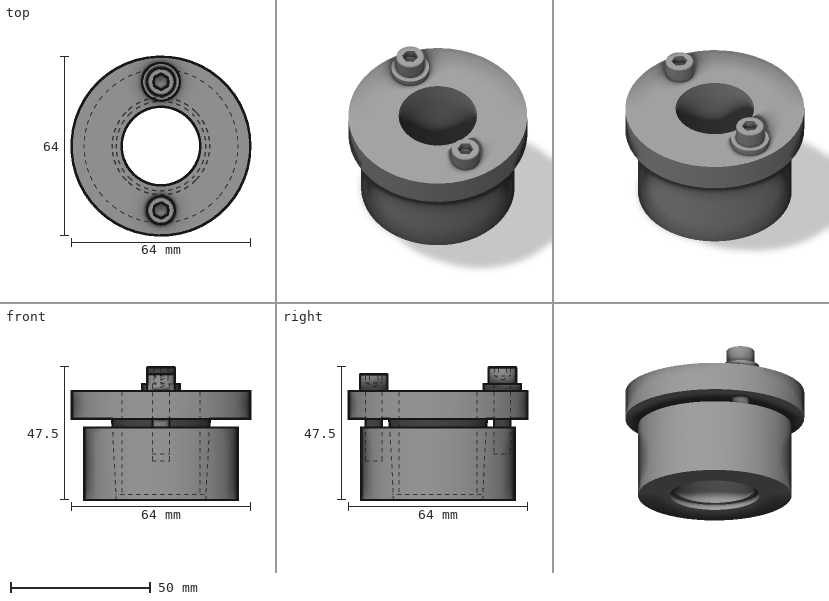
import cadquery as cq
import math

base_diameter = 55.0
base_height = 26.0

flange_diameter = 64.0
flange_thickness = 10.0
flange_gap = 3.0
bore_diameter = 28.0
hub_top_diameter = 35.0
hub_half_angle = 3.0
hub_length = 27.0

washer_diameter = 13.5
washer_thickness = 2.5

screw_offset = 23.0
shank_diameter = 6.0
shank_length = 25.0
head_diameter = 10.0
head_height = shank_diameter
head_edge_radius = 0.6
socket_across_flats = 5.0
socket_depth = 3.0
socket_tip_angle = 120.0

flange_bottom = base_height + flange_gap
flange_top = flange_bottom + flange_thickness
hub_bottom = flange_bottom - hub_length
washer_top = flange_top + washer_thickness
taper_per_height = math.tan(math.radians(hub_half_angle))
socket_corner_diameter = socket_across_flats / math.cos(math.pi / 6)

screw_places = [(-screw_offset, flange_top), (screw_offset, washer_top)]


def cylinder(diameter, bottom, top, y=0.0):
    """Upright cylinder on the X = 0 plane."""
    return cq.Workplane("XY", origin=(0, y, bottom)).circle(diameter / 2).extrude(top - bottom)


def make_cone(bottom):
    """Solid hub taper from the flange underside down to the given level."""
    top_radius = hub_top_diameter / 2
    bottom_radius = top_radius - (flange_bottom - bottom) * taper_per_height
    outline = [(0, bottom), (bottom_radius, bottom), (top_radius, flange_bottom), (0, flange_bottom)]
    return cq.Workplane("XZ").polyline(outline).close().revolve(360, (0, 0), (0, 1))


def make_shank(y, seat):
    """Screw shank hanging from its seat; it also serves as the cutter for its matching holes."""
    return cylinder(shank_diameter, seat - shank_length, seat, y)


def make_base():
    """Ring whose bore carries the hub taper through to the bottom face."""
    base = cylinder(base_diameter, 0, base_height).cut(make_cone(0))
    for y, seat in screw_places:
        base = base.cut(make_shank(y, seat))
    return base


def make_bushing():
    """Flange with its tapered hub, bored through."""
    bushing = cylinder(flange_diameter, flange_bottom, flange_top).union(make_cone(hub_bottom))
    bushing = bushing.cut(cylinder(bore_diameter, hub_bottom, flange_top))
    for y, seat in screw_places:
        bushing = bushing.cut(make_shank(y, seat))
    return bushing


def make_washer():
    washer = cylinder(washer_diameter, flange_top, washer_top, screw_offset)
    return washer.cut(make_shank(screw_offset, washer_top))


def make_socket(y, head_top):
    """Hexagonal socket, corners toward +Y and -Y, with a conical drill-point floor."""
    corner_radius = socket_corner_diameter / 2
    tip_depth = corner_radius / math.tan(math.radians(socket_tip_angle / 2))
    floor = head_top - socket_depth
    hexagon = (
        cq.Workplane("XY", origin=(0, y, floor))
        .transformed(rotate=(0, 0, 90))
        .polygon(6, socket_corner_diameter)
        .extrude(socket_depth + tip_depth)
        .translate((0, 0, -tip_depth))
    )
    drill_outline = [(0, -tip_depth), (corner_radius, 0), (corner_radius, socket_depth), (0, socket_depth)]
    drill = (
        cq.Workplane("XZ", origin=(0, y, floor))
        .polyline(drill_outline)
        .close()
        .revolve(360, (0, 0), (0, 1))
    )
    return hexagon.intersect(drill)


def make_screw(y, seat):
    head_top = seat + head_height
    head = cylinder(head_diameter, seat, head_top, y).faces(">Z").edges().fillet(head_edge_radius)
    screw = head.union(make_shank(y, seat))
    return screw.cut(make_socket(y, head_top))


base = make_base()
bushing = make_bushing()
washer = make_washer()
screws = [make_screw(y, seat) for y, seat in screw_places]

result = cq.Compound.makeCompound(
    [base.val(), bushing.val(), washer.val(), *[screw.val() for screw in screws]]
)